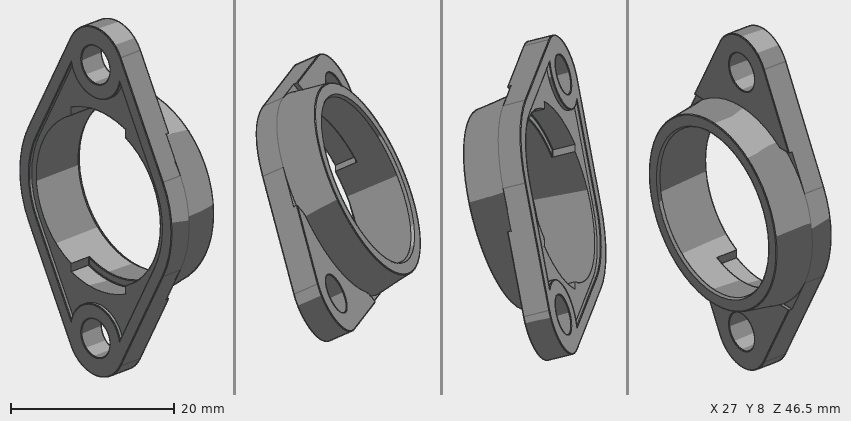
import cadquery as cq
import math

PLATE_THICKNESS = 3.5
BODY_RADIUS = 13.5
EAR_RADIUS = 5.0
EAR_OFFSET = 18.25
EAR_HOLE_DIAMETER = 5.0

RELIEF_DEPTH = 0.5
RELIEF_HALF_HEIGHT = 11.05

TOTAL_DEPTH = 8.0
COLLAR_END_RADIUS = 12.72
BORE_RADIUS = 11.0
BORE_FLARE_WIDTH = 0.2
BORE_FLARE_LENGTH = 0.4

RECESS_DEPTH = 0.5
RIM_WIDTH = 1.7
EAR_LAND_RADIUS = 4.45

NOTCH_RADIUS = 12.0
NOTCH_WIDTH = 9.6
NOTCH_END = 3.5

EDGE_BREAK = 0.1

EAR_CENTERS = [(0, EAR_OFFSET), (0, -EAR_OFFSET)]


def plane_at(y):
    """Sketch plane at depth y: local x = X, local y = Z, extrusion toward +Y."""
    return cq.Workplane(cq.Plane(origin=(0, y, 0), xDir=(1, 0, 0), normal=(0, -1, 0)))


def disc(radius, start, end):
    return plane_at(start).circle(radius).extrude(start - end)


def frustum(start_radius, start, end_radius, end):
    """Cone frustum along Y between two depths."""
    return (
        plane_at(start)
        .circle(start_radius)
        .workplane(offset=start - end)
        .circle(end_radius)
        .loft(ruled=True)
    )


def flange_outline(y, inset):
    """Two ear arcs and two body arcs joined by common tangents, moved inward by inset."""
    body = BODY_RADIUS - inset
    ear = EAR_RADIUS - inset
    sine = (body - ear) / EAR_OFFSET
    cosine = math.sqrt(1 - sine**2)
    body_x = body * cosine
    body_z = body * sine
    ear_x = ear * cosine
    ear_z = EAR_OFFSET + ear * sine
    return (
        plane_at(y)
        .moveTo(body_x, -body_z)
        .threePointArc((body, 0), (body_x, body_z))
        .lineTo(ear_x, ear_z)
        .threePointArc((0, EAR_OFFSET + ear), (-ear_x, ear_z))
        .lineTo(-body_x, body_z)
        .threePointArc((-body, 0), (-body_x, -body_z))
        .lineTo(-ear_x, -ear_z)
        .threePointArc((0, -EAR_OFFSET - ear), (ear_x, -ear_z))
        .close()
    )


def make_recess():
    recess = flange_outline(0, RIM_WIDTH).extrude(-RECESS_DEPTH)
    ear_lands = plane_at(0).pushPoints(EAR_CENTERS).circle(EAR_LAND_RADIUS).extrude(-RECESS_DEPTH)
    return recess.cut(ear_lands)


def make_ear_holes():
    return plane_at(0).pushPoints(EAR_CENTERS).circle(EAR_HOLE_DIAMETER / 2).extrude(-PLATE_THICKNESS)


def make_relief():
    return (
        plane_at(PLATE_THICKNESS - RELIEF_DEPTH)
        .rect(2 * BODY_RADIUS, 2 * RELIEF_HALF_HEIGHT)
        .extrude(-RELIEF_DEPTH)
    )


def make_plate():
    """Flange with beveled front and back edges; the relief is cut after the bevels."""
    plate = flange_outline(0, 0).extrude(-PLATE_THICKNESS).cut(make_recess()).cut(make_ear_holes())
    plate = plate.faces("<Y or >Y").edges().chamfer(EDGE_BREAK)
    return plate.cut(make_relief())


def make_collar():
    start = PLATE_THICKNESS - RELIEF_DEPTH
    collar = frustum(BODY_RADIUS, start, COLLAR_END_RADIUS, TOTAL_DEPTH)
    return collar.faces(">Y").edges().chamfer(EDGE_BREAK)


def make_bore():
    """Through bore that flares at the back end of the collar."""
    bore = disc(BORE_RADIUS, 0, TOTAL_DEPTH)
    flare_start = TOTAL_DEPTH - BORE_FLARE_LENGTH
    flare = frustum(BORE_RADIUS, flare_start, BORE_RADIUS + BORE_FLARE_WIDTH, TOTAL_DEPTH)
    return bore.union(flare)


def make_notches():
    """Pair of opposed notches with beveled inner corners and a beveled lip toward the bore."""
    slot = plane_at(0).rect(NOTCH_WIDTH, 2 * NOTCH_RADIUS).extrude(-TOTAL_DEPTH)
    pocket = slot.intersect(disc(NOTCH_RADIUS, 0, NOTCH_END)).faces(">Y").edges().chamfer(EDGE_BREAK)
    bevel = frustum(BORE_RADIUS + EDGE_BREAK, NOTCH_END, BORE_RADIUS, NOTCH_END + EDGE_BREAK)
    lip = slot.intersect(bevel)
    return pocket.union(lip)


result = (
    make_plate()
    .union(make_collar())
    .cut(make_bore())
    .cut(make_notches())
)